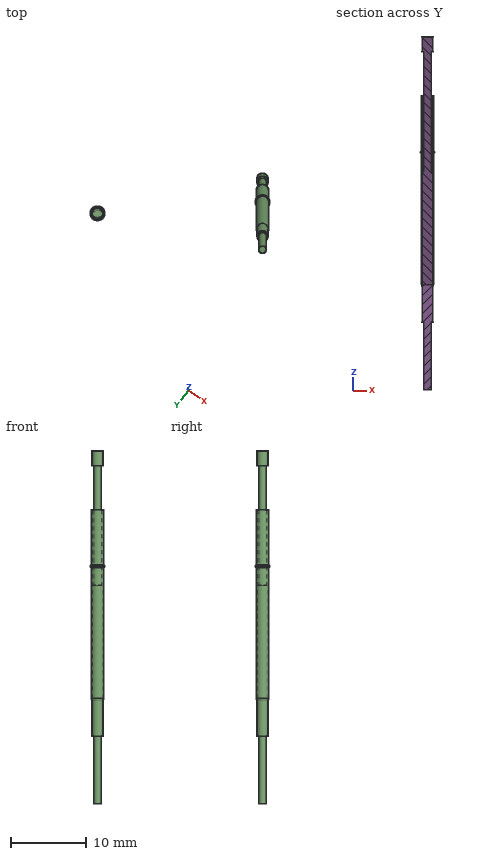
import cadquery as cq

tail_length = 9.0
tail_diameter = 1.0
tube_length = 30.0
tube_diameter = 1.68
narrow_diameter = 1.47
narrow_length = 4.65
taper_height = 0.35
ring_diameter = 1.93
ring_height = 0.45
ring_offset = 22.3
bore_diameter = 1.38

overall_length = 46.85
head_diameter = 1.5
head_length = 2.0
stem_diameter = 1.0
piston_length = 15.0

tube_bottom = tail_length
tube_top = tube_bottom + tube_length
taper_bottom = tube_bottom + narrow_length
taper_top = taper_bottom + taper_height
ring_bottom = tube_bottom + ring_offset
ring_crest = ring_bottom + ring_height / 2
ring_top = ring_bottom + ring_height
bore_bottom = taper_top
piston_top = bore_bottom + piston_length
head_bottom = overall_length - head_length


def revolved(profile):
    """Solid of revolution about Z from (diameter, height) profile points, lowest first."""
    outline = [(diameter / 2, height) for diameter, height in profile]
    axis_bottom = (0, profile[0][1])
    axis_top = (0, profile[-1][1])
    section = cq.Workplane("XZ").polyline([axis_bottom, *outline, axis_top]).close()
    return section.revolve(360, (0, 0, 0), (0, 1, 0))


def make_receptacle():
    """Tail, narrowed end and ringed tube in one piece, with a blind bore open at the top."""
    body = revolved([
        (tail_diameter, 0),
        (tail_diameter, tube_bottom),
        (narrow_diameter, tube_bottom),
        (narrow_diameter, taper_bottom),
        (tube_diameter, taper_top),
        (tube_diameter, ring_bottom),
        (ring_diameter, ring_crest),
        (tube_diameter, ring_top),
        (tube_diameter, tube_top),
    ])
    bore = revolved([
        (bore_diameter, bore_bottom),
        (bore_diameter, tube_top),
    ])
    return body.cut(bore)


def make_plunger():
    """Piston filling the lower bore, with the stem and contact head above it."""
    return revolved([
        (bore_diameter, bore_bottom),
        (bore_diameter, piston_top),
        (stem_diameter, piston_top),
        (stem_diameter, head_bottom),
        (head_diameter, head_bottom),
        (head_diameter, overall_length),
    ])


receptacle = make_receptacle()
plunger = make_plunger()

result = cq.Compound.makeCompound([receptacle.val(), plunger.val()])